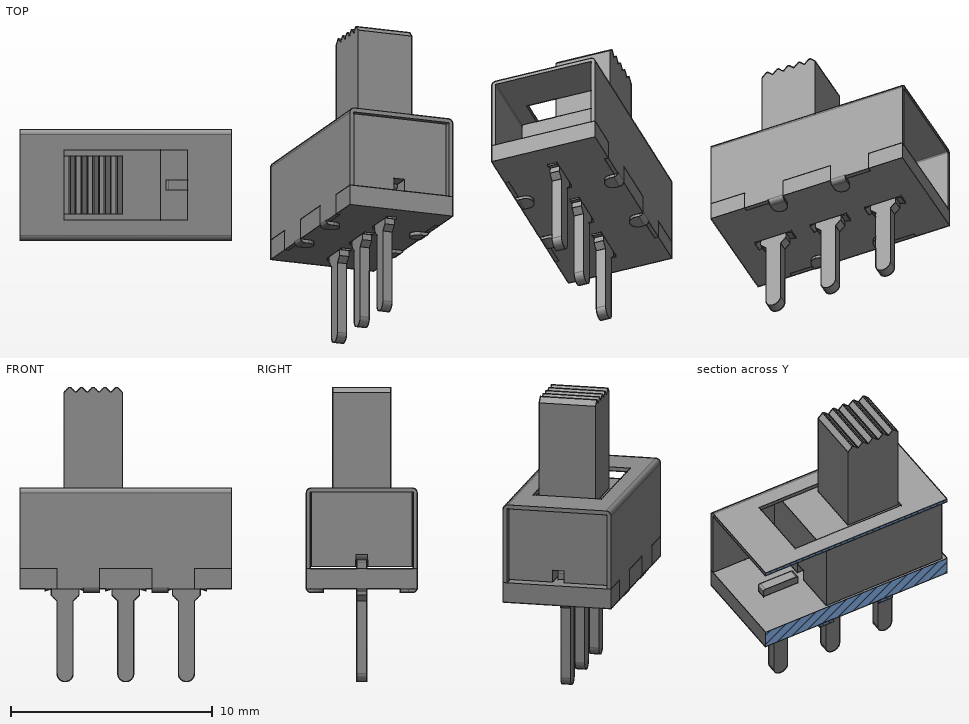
import cadquery as cq
import math


length = 10.5
width = 5.5
total_height = 14.6
cover_top = 5.01
pin_drop = 4.6

base_height = 1.01

sheet = 0.2
bend_radius = 0.25
tab_inner_x = 1.3
tab_width = 2.1
foot_width = 0.8
foot_reach = 0.85
foot_thickness = 0.18
foot_bend_radius = 0.23
tip_flat = 0.001
window_length = 6.13
window_width = 3.47

pin_pitch = 3.01
pin_thickness = 0.5
pin_top = base_height + 0.44
pin_top_fillet = 0.12
plate_width = 2.0
neck_width = 1.39
shaft_width = 0.8
neck_length = 0.3
barb_drop = 0.1

slider_length = 6.69
slider_lift = 0.1
knob_length = 2.9
knob_width = 2.88
channel_width = 0.58
ridge_count = 5
ridge_crest = 0.07
groove_depth = 0.23

contact_height = 0.26

cover_inside_top = cover_top - sheet
slider_bottom = base_height + slider_lift
slider_width = width - 2 * bend_radius
slider_x = (knob_length - window_length) / 2
channel_top = pin_top + contact_height
pin_positions = [-pin_pitch, 0, pin_pitch]
contact_length = pin_pitch + plate_width
contact_x = -pin_pitch / 2


def block(x0, x1, y0, y1, z0, z1):
    """Axis-aligned block between two opposite corners."""
    return cq.Workplane("XY").box(x1 - x0, y1 - y0, z1 - z0, centered=False).translate((x0, y0, z0))


def centred_block(x, x_size, y_size, z0, z1):
    """Block centred on y = 0 and on the given x."""
    return block(x - x_size / 2, x + x_size / 2, -y_size / 2, y_size / 2, z0, z1)


def both_sides(half):
    """Join a feature on the +X, -Y side with its three mirror images."""
    front = half.union(half.mirror("YZ"))
    return front.union(front.mirror("XZ"))


def make_base():
    base = centred_block(0, length, width, 0, base_height)
    recess = block(tab_inner_x, tab_inner_x + tab_width, -width / 2, sheet - width / 2, 0, base_height)
    base = base.cut(both_sides(recess))
    for x in pin_positions:
        base = base.cut(centred_block(x, plate_width, pin_thickness, 0, base_height))
    return base


def make_foot():
    """Rounded tongue folded under the base at the inner edge of a tab."""
    left = tab_inner_x
    right = tab_inner_x + foot_width
    outer_y = -width / 2
    wall = block(left, right, outer_y, outer_y + sheet, -foot_thickness, base_height)
    tongue = block(left, right, outer_y, outer_y + foot_reach, -foot_thickness, 0)
    tip_radius = (foot_width - tip_flat) / 2
    tongue = tongue.faces(">Y").edges("|Z").fillet(tip_radius)
    return wall.union(tongue).edges("|X and <Y and <Z").fillet(foot_bend_radius)


def make_cover():
    shell = centred_block(0, length, width, base_height, cover_top)
    shell = shell.edges("|X and >Z").fillet(bend_radius)
    inside = centred_block(0, length, width - 2 * sheet, base_height, cover_inside_top)
    inside = inside.edges("|X and >Z").fillet(bend_radius - sheet)
    cover = shell.cut(inside)
    cover = cover.cut(centred_block(0, window_length, window_width, cover_inside_top, cover_top))
    tab = block(
        tab_inner_x + foot_width, tab_inner_x + tab_width, -width / 2, sheet - width / 2, 0, base_height
    )
    return cover.union(both_sides(tab.union(make_foot())))


def make_pin(x):
    """Flat terminal: wide plate in the base, barbed shoulders, tapered neck, round-ended shaft."""
    plate = plate_width / 2
    neck = neck_width / 2
    shaft = shaft_width / 2
    taper_end = -neck_length - (neck - shaft)
    tip_start = shaft - pin_drop
    pin = (
        cq.Workplane("XZ")
        .moveTo(-plate, pin_top)
        .lineTo(-plate, -barb_drop)
        .lineTo(-neck, 0)
        .lineTo(-neck, -neck_length)
        .lineTo(-shaft, taper_end)
        .lineTo(-shaft, tip_start)
        .threePointArc((0, -pin_drop), (shaft, tip_start))
        .lineTo(shaft, taper_end)
        .lineTo(neck, -neck_length)
        .lineTo(neck, 0)
        .lineTo(plate, -barb_drop)
        .lineTo(plate, pin_top)
        .close()
        .extrude(pin_thickness / 2, both=True)
    )
    pin = pin.edges("|Y and >Z").fillet(pin_top_fillet)
    return pin.translate((x, 0, 0))


def make_knob():
    """Upright knob whose top is a row of 45 degree ridges."""
    pitch = knob_length / ridge_count
    knob_top = total_height - pin_drop
    edge = knob_length / 2
    shoulder = knob_top - (pitch - ridge_crest) / 2
    outline = [(-edge, cover_inside_top), (-edge, shoulder)]
    for i in range(ridge_count):
        crest_x = (i + 0.5) * pitch - edge
        crest_left = crest_x - ridge_crest / 2
        crest_right = crest_x + ridge_crest / 2
        if i > 0:
            outline.append((crest_left - groove_depth, knob_top - groove_depth))
        outline.append((crest_left, knob_top))
        outline.append((crest_right, knob_top))
        if i < ridge_count - 1:
            outline.append((crest_right + groove_depth, knob_top - groove_depth))
    outline += [(edge, shoulder), (edge, cover_inside_top)]
    knob = cq.Workplane("XZ").polyline(outline).close().extrude(knob_width / 2, both=True)
    return knob.translate((slider_x, 0, 0))


def make_slider():
    body = centred_block(slider_x, slider_length, slider_width, slider_bottom, cover_inside_top)
    channel = centred_block(slider_x, slider_length, channel_width, slider_bottom, channel_top)
    return body.cut(channel).union(make_knob())


def make_contact():
    """Bridge between two neighbouring pins, held in the slider channel, with round lower ends."""
    edge = contact_length / 2
    inset = contact_height * (1 - math.sqrt(0.5))
    contact = (
        cq.Workplane("XZ")
        .moveTo(-edge, channel_top)
        .threePointArc((inset - edge, pin_top + inset), (contact_height - edge, pin_top))
        .lineTo(edge - contact_height, pin_top)
        .threePointArc((edge - inset, pin_top + inset), (edge, channel_top))
        .close()
        .extrude(channel_width / 2, both=True)
    )
    return contact.translate((contact_x, 0, 0))


base = make_base().solids()
cover = make_cover().solids()
pins = [make_pin(x).solids() for x in pin_positions]
slider = make_slider().solids()
contact = make_contact().solids()

result = cq.Compound.makeCompound(
    [base.val(), cover.val(), *[pin.val() for pin in pins], slider.val(), contact.val()]
)